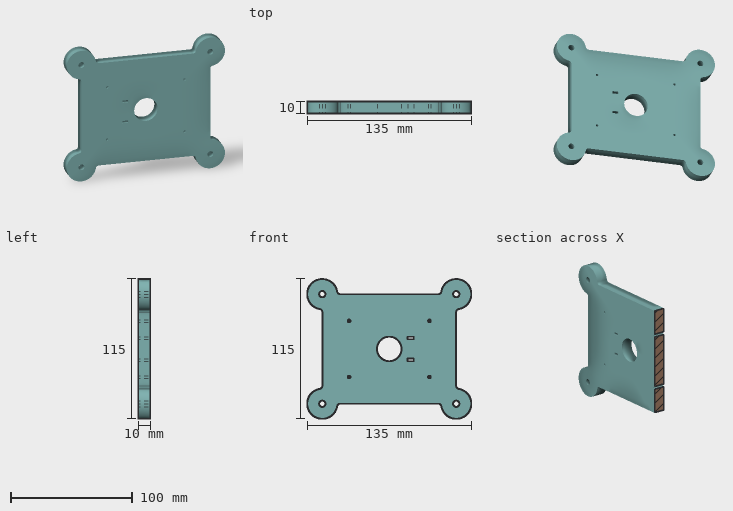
import cadquery as cq

length = 135.0
height = 115.0
thickness = 10.0

ear_diameter = 25.0
ear_hole_diameter = 5.0
ear_fillet = 2.5
plate_length = length - ear_diameter
plate_height = height - ear_diameter

center_hole_diameter = 20.0
pin_hole_diameter = 2.0
pin_spacing_x = 66.0
pin_spacing_z = 46.0
slot_length = 5.0
slot_width = 2.0
slot_offset_x = 17.5
slot_spacing_z = 18.0


def rectangle_corners(spacing_x, spacing_z):
    """Corner points of a rectangle centred on the origin."""
    return [(sx * spacing_x / 2, sz * spacing_z / 2) for sx in (-1, 1) for sz in (-1, 1)]


def centered_prism(sketch):
    """Extrude an XZ sketch to the plate thickness and centre it on that plane."""
    return sketch.extrude(thickness).translate((0, thickness / 2, 0))


def round_prisms(points, diameter):
    return centered_prism(cq.Workplane("XZ").pushPoints(points).circle(diameter / 2))


def body():
    """Plate with four ears, blended by fillets where the ears meet the edges."""
    plate = centered_prism(cq.Workplane("XZ").rect(plate_length, plate_height))
    ears = round_prisms(ear_centers, ear_diameter)
    inner_length = plate_length - ear_diameter
    inner_height = plate_height - ear_diameter
    junctions = rectangle_corners(inner_length, plate_height) + rectangle_corners(plate_length, inner_height)
    solid = plate.union(ears)
    for x, z in junctions:
        solid = solid.edges("|Y").edges(cq.selectors.NearestToPointSelector((x, 0, z))).fillet(ear_fillet)
    return solid


def slots():
    centers = [(slot_offset_x, side * slot_spacing_z / 2) for side in (-1, 1)]
    return centered_prism(cq.Workplane("XZ").pushPoints(centers).rect(slot_length, slot_width))


ear_centers = rectangle_corners(plate_length, plate_height)
pin_centers = rectangle_corners(pin_spacing_x, pin_spacing_z)

result = (
    body()
    .cut(round_prisms(ear_centers, ear_hole_diameter))
    .cut(round_prisms([(0, 0)], center_hole_diameter))
    .cut(round_prisms(pin_centers, pin_hole_diameter))
    .cut(slots())
)